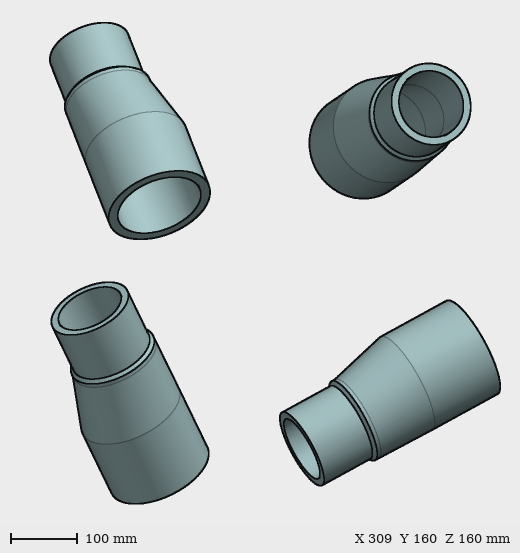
import cadquery as cq

length = 309.0
large_diameter = 160.0
small_diameter = 125.0
collar_diameter = 135.5
small_bore = 102.0
wall_ratio = 11
large_bore = large_diameter * (1 - 2 / wall_ratio)

chamfer_start = 85.5
chamfer_length = (collar_diameter - small_diameter) / 2
collar_start = chamfer_start + chamfer_length
cone_start = 97.0
cone_end = 192.5

small_axis_y = (collar_diameter - large_diameter) / 2


def frustum(x_start, x_end, start_diameter, end_diameter, start_y, end_y):
    """Solid between two circles at different stations, possibly off-centre."""
    start = cq.Workplane("YZ", origin=(x_start, start_y, 0)).circle(start_diameter / 2)
    return (
        start.workplane(offset=x_end - x_start)
        .center(end_y - start_y, 0)
        .circle(end_diameter / 2)
        .loft(ruled=True)
    )


def cylinder(x_start, x_end, diameter, axis_y):
    """Straight round bar parallel to X."""
    base = cq.Workplane("YZ", origin=(x_start, axis_y, 0))
    return base.circle(diameter / 2).extrude(x_end - x_start)


body = (
    cylinder(0, chamfer_start, small_diameter, small_axis_y)
    .union(frustum(chamfer_start, collar_start, small_diameter, collar_diameter, small_axis_y, small_axis_y))
    .union(cylinder(collar_start, cone_start, collar_diameter, small_axis_y))
    .union(frustum(cone_start, cone_end, collar_diameter, large_diameter, small_axis_y, 0))
    .union(cylinder(cone_end, length, large_diameter, 0))
)

passage = (
    cylinder(0, cone_start, small_bore, small_axis_y)
    .union(frustum(cone_start, cone_end, small_bore, large_bore, small_axis_y, 0))
    .union(cylinder(cone_end, length, large_bore, 0))
)

result = body.cut(passage)